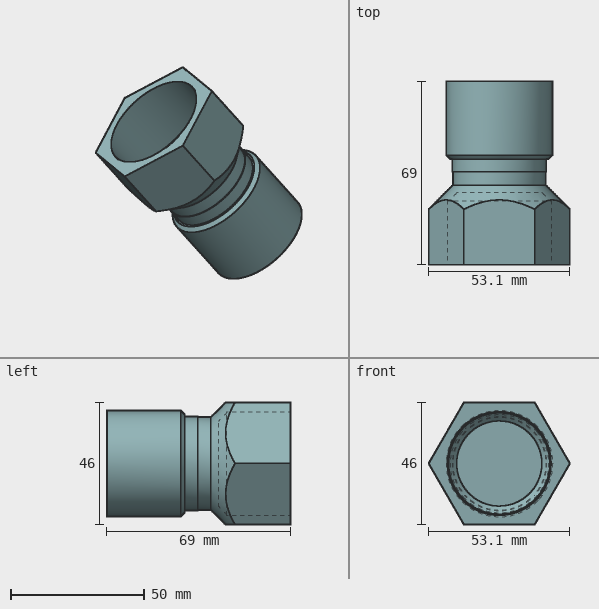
import cadquery as cq
import math

total_length = 69.0
across_flats = 46.0
across_corners = across_flats / math.cos(math.radians(30))

rear_neck_diameter = 35.5
front_neck_diameter = 35.0
sleeve_diameter = 40.0
sleeve_chamfer = 1.5

cone_end = 29.95
neck_step = 34.9
sleeve_start = 39.75

bore_diameter = 39.0
bore_depth = 24.15
seat_mouth_diameter = 38.1
seat_floor_diameter = 32.0
seat_depth = (seat_mouth_diameter - seat_floor_diameter) / 2


def revolve_profile(points):
    """Turn (radius, distance from open end) points about the Y axis."""
    return cq.Workplane("XY").polyline(points).close().revolve(360, (0, 0, 0), (0, 1, 0))


def make_nut():
    """Hexagon with corners on X, its back turned to a 45 degree cone."""
    hexagon = cq.Workplane("XZ").polygon(6, across_corners).extrude(-cone_end)
    corner_radius = across_corners / 2
    neck_radius = front_neck_diameter / 2
    cone_start = cone_end - (corner_radius - neck_radius)
    envelope = revolve_profile([
        (0, 0),
        (corner_radius, 0),
        (corner_radius, cone_start),
        (neck_radius, cone_end),
        (0, cone_end),
    ])
    return hexagon.intersect(envelope)


def make_shank():
    """Stepped neck and plain sleeve, chamfered where the sleeve starts."""
    front_radius = front_neck_diameter / 2
    rear_radius = rear_neck_diameter / 2
    sleeve_radius = sleeve_diameter / 2
    return revolve_profile([
        (0, cone_end),
        (front_radius, cone_end),
        (front_radius, neck_step),
        (rear_radius, neck_step),
        (rear_radius, sleeve_start),
        (sleeve_radius - sleeve_chamfer, sleeve_start),
        (sleeve_radius, sleeve_start + sleeve_chamfer),
        (sleeve_radius, total_length),
        (0, total_length),
    ])


def make_socket():
    """Straight bore, a narrow shoulder and a 45 degree seat with a flat floor."""
    return revolve_profile([
        (0, 0),
        (bore_diameter / 2, 0),
        (bore_diameter / 2, bore_depth),
        (seat_mouth_diameter / 2, bore_depth),
        (seat_floor_diameter / 2, bore_depth + seat_depth),
        (0, bore_depth + seat_depth),
    ])


fitting = make_nut().union(make_shank()).cut(make_socket())
result = fitting.translate((0, -total_length / 2, 0))